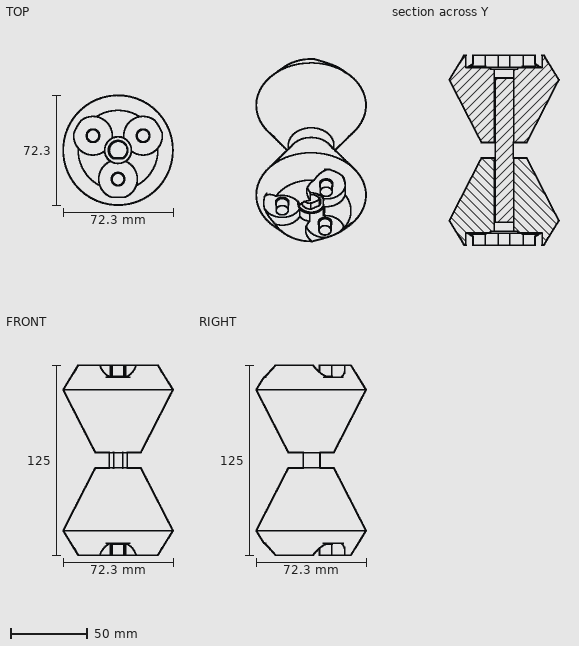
import cadquery as cq
import math

TOTAL_HEIGHT = 125.0
NECK_GAP = 10.0
END_Z = TOTAL_HEIGHT / 2
NECK_Z = NECK_GAP / 2

RIM_DIAMETER = 72.3
NECK_DIAMETER = 30.0
FACE_DIAMETER = 52.4
RIM_DEPTH = 16.2
RIM_Z = END_Z - RIM_DEPTH

POCKET_COUNT = 3
POCKET_START_ANGLE = -90.0
POCKET_PITCH_RADIUS = 19.0
POCKET_DIAMETER = 25.4
POCKET_DEPTH = 8.0
PIN_DIAMETER = 7.95
COLLAR_DIAMETER = 8.75
COLLAR_HEIGHT = 0.75

OPENING_DIAMETER = 17.8
COUNTERBORE_DIAMETER = 17.5
COUNTERBORE_DEPTH = 9.2
BORE_DIAMETER = 12.5
BORE_FLAT_DISTANCE = 5.35

SHAFT_DIAMETER = 12.0
SHAFT_FLAT_DISTANCE = 5.25
SHAFT_LENGTH = 95.0
SHAFT_OFFSET_X = 0.2


def cylinder(diameter, bottom_z, top_z, x=0.0, y=0.0):
    """Upright cylinder between two heights."""
    return (
        cq.Workplane("XY", origin=(x, y, bottom_z))
        .circle(diameter / 2)
        .extrude(top_z - bottom_z)
    )


def d_bar(diameter, flat_distance, bottom_z, top_z, x=0.0):
    """Upright round bar with one flat facing -Y."""
    radius = diameter / 2
    half_flat = math.sqrt(radius**2 - flat_distance**2)
    return (
        cq.Workplane("XY", origin=(x, 0, bottom_z))
        .moveTo(half_flat, -flat_distance)
        .threePointArc((0, radius), (-half_flat, -flat_distance))
        .close()
        .extrude(top_z - bottom_z)
    )


def pocket_centers():
    """XY centres of the pockets, evenly spaced about the axis."""
    centers = []
    for index in range(POCKET_COUNT):
        angle = math.radians(POCKET_START_ANGLE + index * 360 / POCKET_COUNT)
        centers.append((POCKET_PITCH_RADIUS * math.cos(angle), POCKET_PITCH_RADIUS * math.sin(angle)))
    return centers


def double_cone():
    """Solid of revolution: narrow neck, wide rim, smaller outer face."""
    return (
        cq.Workplane("XZ")
        .moveTo(0, NECK_Z)
        .lineTo(NECK_DIAMETER / 2, NECK_Z)
        .lineTo(RIM_DIAMETER / 2, RIM_Z)
        .lineTo(FACE_DIAMETER / 2, END_Z)
        .lineTo(0, END_Z)
        .close()
        .revolve(360, (0, 0, 0), (0, 1, 0))
    )


def upper_hub():
    """Double cone with pinned pockets, stepped central opening and D-shaped bore."""
    floor_z = END_Z - POCKET_DEPTH
    hub = double_cone()
    for x, y in pocket_centers():
        pocket = cylinder(POCKET_DIAMETER, floor_z, END_Z, x, y)
        collar = cylinder(COLLAR_DIAMETER, floor_z, floor_z + COLLAR_HEIGHT, x, y)
        pin = cylinder(PIN_DIAMETER, floor_z, END_Z, x, y)
        hub = hub.cut(pocket.cut(collar).cut(pin))
    hub = hub.cut(cylinder(OPENING_DIAMETER, floor_z, END_Z))
    hub = hub.cut(cylinder(COUNTERBORE_DIAMETER, END_Z - COUNTERBORE_DEPTH, END_Z))
    return hub.cut(d_bar(BORE_DIAMETER, BORE_FLAT_DISTANCE, NECK_Z, END_Z))


hub = upper_hub()
hubs = [hub, hub.mirror("XY")]

shaft = d_bar(SHAFT_DIAMETER, SHAFT_FLAT_DISTANCE, -SHAFT_LENGTH / 2, SHAFT_LENGTH / 2, SHAFT_OFFSET_X)

result = cq.Compound.makeCompound([*[body.val() for body in hubs], shaft.val()])